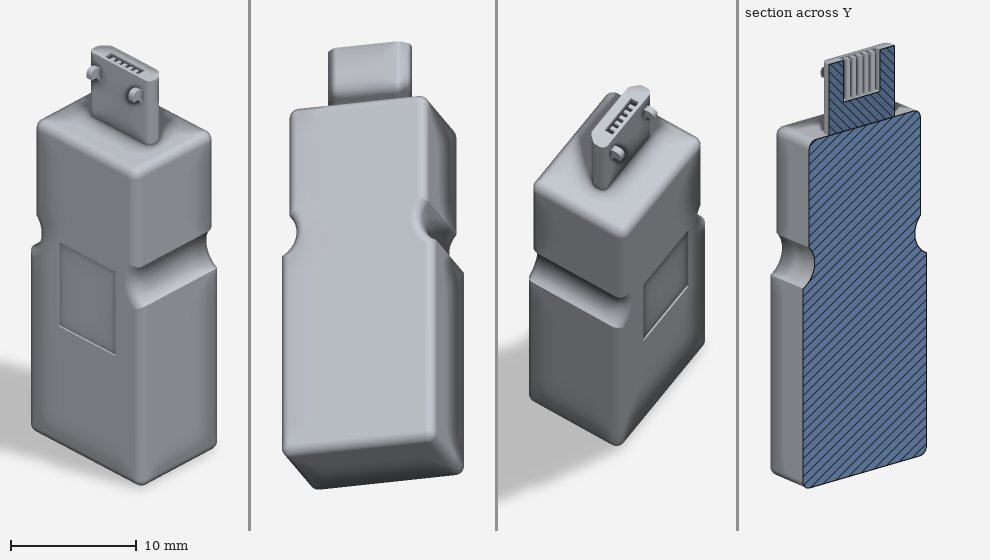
import cadquery as cq
import math

total_height = 35.48
housing_height = 29.45
housing_width = 12.77
housing_depth = 8.98
neck_width = 11.5
edge_round = 0.75
notch_radius = 2.1
notch_axis_x = 7.27
notch_axis_z = 18.98

feature_center_x = 0.32

label_width = 6.4
label_height = 7.88
label_center_z = 15.33
label_depth = 0.15

plug_width = 6.8
plug_depth = 1.8
plug_front_y = -0.9
plug_chamfer = 0.75
plug_corner_round = 0.5

slot_width = 3.73
slot_depth_y = 0.75
slot_front_y = -0.6
slot_length = 3.55
pin_count = 5
pin_pitch = 0.65
pin_width = 0.32
pin_thickness = 0.53
pin_recess = 0.1

latch_spacing = 4.7
latch_width = 0.53
latch_reach = 1.03
latch_top_z = 34.6
latch_root_top_z = 34.45
latch_bottom_z = 33.03
latch_underside_z = 33.7
latch_tip_z = 33.85
latch_nose_radius = 0.5
latch_lip_radius = 0.2
latch_neck = 0.4
latch_root_slope = 0.6


def notch_z(half_width, direction):
    """Height at which a finger notch meets a side face half_width from the middle."""
    return notch_axis_z + direction * math.sqrt(notch_radius**2 - (notch_axis_x - half_width) ** 2)


def make_housing():
    grip_half = housing_width / 2
    neck_half = neck_width / 2
    grip_top_z = notch_z(grip_half, -1)
    neck_bottom_z = notch_z(neck_half, 1)
    notch_bottom_x = notch_axis_x - notch_radius
    body = (
        cq.Workplane("XZ", origin=(0, housing_depth / 2, 0))
        .moveTo(-grip_half, 0)
        .lineTo(grip_half, 0)
        .lineTo(grip_half, grip_top_z)
        .threePointArc((notch_bottom_x, notch_axis_z), (neck_half, neck_bottom_z))
        .lineTo(neck_half, housing_height)
        .lineTo(-neck_half, housing_height)
        .lineTo(-neck_half, neck_bottom_z)
        .threePointArc((-notch_bottom_x, notch_axis_z), (-grip_half, grip_top_z))
        .close()
        .extrude(housing_depth)
    )
    body = body.edges("(<Y) or (>Y) or (<Z) or (>Z)").fillet(edge_round)
    label = cq.Workplane("XY").box(label_width, 2 * label_depth, label_height)
    return body.cut(label.translate((feature_center_x, -housing_depth / 2, label_center_z)))


def make_latch(center_x):
    tip_y = plug_front_y - latch_reach
    nose_start_y = tip_y + latch_nose_radius
    diagonal = latch_nose_radius * math.sqrt(0.5)
    nose_center_z = latch_top_z - latch_nose_radius
    return (
        cq.Workplane("YZ", origin=(center_x - latch_width / 2, 0, 0))
        .moveTo(plug_front_y, latch_bottom_z)
        .lineTo(plug_front_y, latch_root_top_z)
        .spline([(nose_start_y, latch_top_z)], tangents=[(-1, latch_root_slope), (-1, 0)], includeCurrent=True)
        .threePointArc((nose_start_y - diagonal, nose_center_z + diagonal), (tip_y, nose_center_z))
        .lineTo(tip_y, latch_tip_z)
        .radiusArc((tip_y + latch_lip_radius, latch_tip_z - latch_lip_radius), -latch_lip_radius)
        .lineTo(tip_y + latch_lip_radius, latch_underside_z)
        .lineTo(plug_front_y - latch_neck, latch_underside_z)
        .close()
        .extrude(latch_width)
    )


def make_plug():
    half = plug_width / 2
    back_y = plug_front_y + plug_depth
    shell = (
        cq.Workplane("XY", origin=(feature_center_x, 0, housing_height))
        .polyline([
            (-half, plug_front_y),
            (half, plug_front_y),
            (half, back_y - plug_chamfer),
            (half - plug_chamfer, back_y),
            (plug_chamfer - half, back_y),
            (-half, back_y - plug_chamfer),
        ])
        .close()
        .extrude(total_height - housing_height)
        .edges("|Z")
        .fillet(plug_corner_round)
    )
    slot = cq.Workplane("XY").box(slot_width, slot_depth_y, slot_length, centered=(True, False, False))
    shell = shell.cut(slot.translate((feature_center_x, slot_front_y, total_height - slot_length)))
    for side in (-1, 1):
        shell = shell.union(make_latch(feature_center_x + side * latch_spacing / 2))
    return shell


def make_pin(index):
    center_x = feature_center_x + (index - (pin_count - 1) / 2) * pin_pitch
    pin = cq.Workplane("XY").box(
        pin_width, pin_thickness, slot_length - pin_recess, centered=(True, False, False)
    )
    return pin.translate((center_x, slot_front_y, total_height - slot_length))


housing = make_housing()
plug = make_plug()
pins = [make_pin(index) for index in range(pin_count)]

result = cq.Compound.makeCompound([housing.val(), plug.val(), *[pin.val() for pin in pins]])